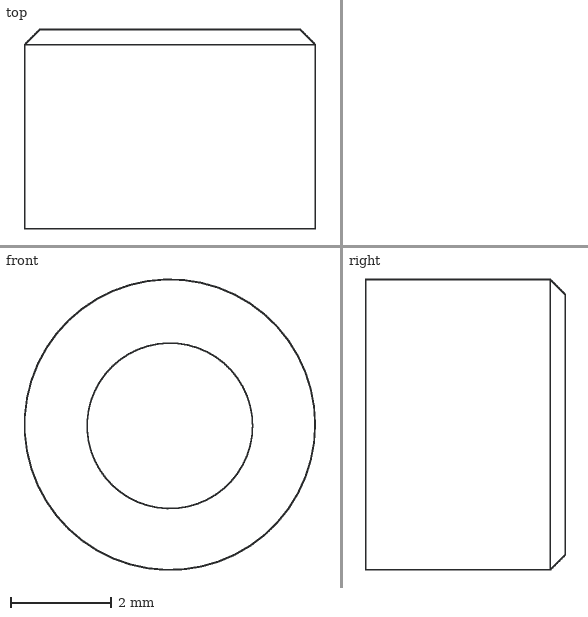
import cadquery as cq

outer_diameter = 5.8
length = 3.98
end_chamfer = 0.3

bore_drop = 0.025
mouth_diameter = 3.3
floor_diameter = 3.2
bore_depth = 2.055
floor_fillet = 0.205


def make_body():
    cylinder = cq.Workplane("XZ").circle(outer_diameter / 2).extrude(-length)
    return cylinder.faces(">Y").edges().chamfer(end_chamfer)


def make_bore():
    half_profile = (
        cq.Workplane("XY")
        .lineTo(mouth_diameter / 2, 0)
        .lineTo(floor_diameter / 2, bore_depth)
        .lineTo(0, bore_depth)
        .close()
    )
    cone = half_profile.revolve(360, (0, 0), (0, 1))
    rounded_cone = cone.faces(">Y").edges().fillet(floor_fillet)
    return rounded_cone.translate((0, 0, -bore_drop))


result = make_body().cut(make_bore())